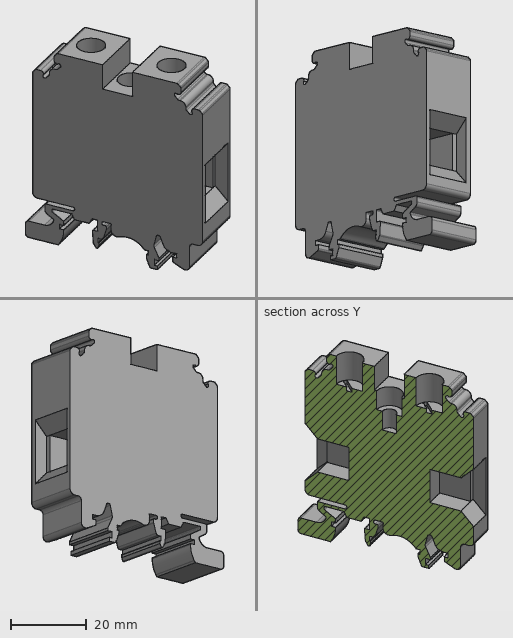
import cadquery as cq
import math

height = 58.0
thickness = 16.0
half_length = 25.3
foot_end_x = -27.45

block_half_width = 18.85
top_chamfer = 1.0
chamfer_edge_radius = 0.6
lip_z = 54.7
lip_radius = 0.9
bump_z = 53.0
bump_radius = 1.6
bump_foot_radius = 0.7
groove_x = -17.4
groove_z = 54.4
groove_radius = 0.5

marker_slot_width = 8.9
marker_slot_depth = 7.35

body_floor_z = 12.6
underside_z = 10.45
foot_top_z = 5.0
body_corner_radius = 1.5
rail_slot_gap = 1.1

screw_x = 11.95
screw_well_diameter = 7.7
screw_well_depth = 8.7
driver_slot_length = 7.6
driver_slot_width = 1.05
driver_slot_depth = 1.15
driver_slot_angle = -45.0
centre_hole_diameter = 7.5
centre_hole_depth = 5.8
centre_pilot_diameter = 4.0
centre_pilot_depth = 5.8

entry_centre_y = 0.2
entry_centre_z = 25.65
entry_width = 13.2
entry_height = 17.75
entry_depth = 3.8
wire_hole_width = 10.55
wire_hole_depth = 9.3


shortest_edge = 0.0005


def rounded_outline(corners):
    """Closed XZ wire through (x, z, radius) corners; a radius of 0 leaves the corner sharp."""
    wire = None
    pen = None
    count = len(corners)
    for i, (x, z, radius) in enumerate(corners):
        corner = cq.Vector(x, z, 0)
        before = cq.Vector(*corners[i - 1][:2], 0)
        after = cq.Vector(*corners[(i + 1) % count][:2], 0)
        to_before = (before - corner).normalized()
        to_after = (after - corner).normalized()
        half_angle = to_before.getAngle(to_after) / 2
        setback = radius / math.tan(half_angle)
        start = corner + to_before * setback
        if wire is None:
            wire = cq.Workplane("XZ", origin=(0, thickness / 2, 0)).moveTo(start.x, start.y)
        elif (start - pen).Length > shortest_edge:
            wire = wire.lineTo(start.x, start.y)
        pen = start
        if radius > 0:
            bisector = (to_before + to_after).normalized()
            middle = corner + bisector * (radius / math.sin(half_angle) - radius)
            end = corner + to_after * setback
            wire = wire.threePointArc((middle.x, middle.y), (end.x, end.y))
            pen = end
    return wire.close()


def swap_across_step(x, z):
    """Mirror a point across the 45 degree line that makes the two steps of the left end alike."""
    offset = height - half_length
    return offset - z, offset - x


def left_step_corners():
    """Left end from the top edge down to the side face; its lower half mirrors its upper half."""
    tangent = groove_radius * math.sqrt(0.5)
    slope_x = groove_x + tangent
    slope_z = groove_z - tangent
    upper = [
        (top_chamfer - block_half_width, height, chamfer_edge_radius),
        (-block_half_width, height - top_chamfer, chamfer_edge_radius),
        (-block_half_width, lip_z, lip_radius),
        (groove_x, lip_z, 0),
        (slope_x, slope_z, 0),
        (slope_x - (slope_z - bump_z), bump_z, bump_foot_radius),
    ]
    lower = [(*swap_across_step(x, z), radius) for x, z, radius in reversed(upper)]
    bump_corner = (height - half_length - bump_z, bump_z, bump_radius)
    return upper + [bump_corner] + lower


def right_step_corners():
    return [(-x, z, radius) for x, z, radius in reversed(left_step_corners())]


def clamp_foot_corners():
    """Slot under the body, the spring arm below it and the long foot."""
    arm_top_z = body_floor_z - rail_slot_gap
    slot_end_x = -12.75
    slot_end_radius = rail_slot_gap / 2
    foot_radius = 1.1
    toe_x = -16.0
    return [
        (-half_length, body_floor_z, body_corner_radius),
        (slot_end_x, body_floor_z, slot_end_radius),
        (slot_end_x, arm_top_z, slot_end_radius),
        (-21.65, arm_top_z, 0.45),
        (-21.65, 8.95, 1.45),
        (-18.9, 7.3, 0.3),
        (-19.8, foot_top_z, 2.8),
        (foot_end_x, foot_top_z, foot_radius),
        (foot_end_x, 0, foot_radius),
        (-17.65, 0, 0),
        (toe_x, 2.45, 7.55),
        (toe_x, foot_top_z, 0),
        (-17.3, foot_top_z, 0),
        (-17.3, 6.25, 0),
        (toe_x, 6.25, 0),
        (toe_x, 7.6, 0),
        (-19.5, 9.55, 0.3),
        (-19.5, underside_z, 0.3),
    ]


def left_leg_corners():
    """Raised pad and the thin hooked leg beside it."""
    pad_z = 8.9
    return [
        (-13.7, underside_z, 0),
        (-12.75, pad_z, 0),
        (-8.45, pad_z, 0),
        (-7.6, underside_z, 0),
        (-6.0, underside_z, 0.3),
        (-6.0, 7.15, 0),
        (-7.55, 7.15, 0.4),
        (-7.25, 3.25, 0.6),
        (-6.4, 1.9, 0.1),
        (-6.0, 1.9, 0.1),
        (-5.55, 2.9, 0),
        (-5.55, 3.7, 0),
        (-5.8, 3.7, 0),
        (-5.8, foot_top_z, 0),
        (-4.35, foot_top_z, 0.7),
        (-3.35, 8.25, 0.45),
        (-3.35, 9.4, 0.3),
        (-4.65, 9.4, 0.45),
        (-4.65, underside_z, 0.45),
    ]


def right_leg_corners():
    """Rounded bump, shallow arch and the hooked leg at its end."""
    return [
        (-1.85, underside_z, 0.3),
        (-2.15, 6.15, 1.75),
        (5.0, 8.6, 6.4),
        (8.0, foot_top_z, 0),
        (9.1, foot_top_z, 0),
        (9.1, 3.7, 0),
        (8.5, 3.7, 0),
        (8.5, 2.7, 0),
        (9.6, 0, 0.6),
        (11.85, 0, 0),
        (11.85, 1.1, 0),
        (10.9, 1.1, 0),
        (10.9, 2.85, 0),
        (12.35, 2.85, 0),
        (12.35, 3.6, 0),
        (10.75, 6.9, 1.15),
        (11.6, underside_z, 0.5),
    ]


def right_foot_corners():
    """Fixed rail hook and the lower right corner of the body."""
    return [
        (12.6, underside_z, 0.4),
        (14.25, 6.25, 2.9),
        (17.5, 6.25, 0),
        (17.5, foot_top_z, 0),
        (16.35, foot_top_z, 0),
        (16.35, 3.55, 0.6),
        (19.7, 2.05, 1.45),
        (21.4, 2.05, 1.3),
        (21.4, underside_z, 1.1),
        (half_length, underside_z, body_corner_radius),
    ]


def housing():
    corners = left_step_corners() + clamp_foot_corners() + left_leg_corners()
    corners += right_leg_corners() + right_foot_corners() + right_step_corners()
    return rounded_outline(corners).extrude(thickness)


def end_grooves():
    """Round grooves along Y, two in each upper end."""
    left = [(groove_x, groove_z), swap_across_step(groove_x, groove_z)]
    right = [(-x, z) for x, z in left]
    sketch = cq.Workplane("XZ", origin=(0, thickness / 2, 0)).pushPoints(left + right)
    return sketch.circle(groove_radius).extrude(thickness)


def marker_slot():
    return cq.Workplane(origin=(0, 0, height)).rect(marker_slot_width, thickness).extrude(-marker_slot_depth)


def screw_well(x):
    """Blind well with the driver slot of the screw head in its floor."""
    floor_z = height - screw_well_depth
    well = cq.Workplane(origin=(x, 0, height)).circle(screw_well_diameter / 2).extrude(-screw_well_depth)
    driver_slot = (
        cq.Workplane(origin=(x, 0, floor_z))
        .transformed(rotate=(0, 0, driver_slot_angle))
        .rect(driver_slot_length, driver_slot_width)
        .extrude(-driver_slot_depth)
    )
    return well.union(driver_slot)


def centre_hole():
    top = cq.Workplane(origin=(0, 0, height - marker_slot_depth))
    depth_with_pilot = centre_hole_depth + centre_pilot_depth
    pilot = top.circle(centre_pilot_diameter / 2).extrude(-depth_with_pilot)
    return top.circle(centre_hole_diameter / 2).extrude(-centre_hole_depth).union(pilot)


def left_wire_entry():
    """Mouth with 45 degree top and bottom slopes, then a narrower wire hole."""
    wire_hole_height = entry_height - 2 * entry_depth
    mouth_end_x = -half_length + entry_depth
    mouth = (
        cq.Workplane("XZ", origin=(0, entry_centre_y + entry_width / 2, entry_centre_z))
        .moveTo(-half_length, entry_height / 2)
        .lineTo(mouth_end_x, wire_hole_height / 2)
        .lineTo(mouth_end_x, -wire_hole_height / 2)
        .lineTo(-half_length, -entry_height / 2)
        .close()
        .extrude(entry_width)
    )
    wire_hole = (
        cq.Workplane("YZ", origin=(mouth_end_x, entry_centre_y, entry_centre_z))
        .rect(wire_hole_width, wire_hole_height)
        .extrude(wire_hole_depth)
    )
    return mouth.union(wire_hole)


result = housing().cut(end_grooves()).cut(marker_slot()).cut(centre_hole())
for well_x in (-screw_x, screw_x):
    result = result.cut(screw_well(well_x))
wire_entry = left_wire_entry()
result = result.cut(wire_entry).cut(wire_entry.mirror("YZ"))